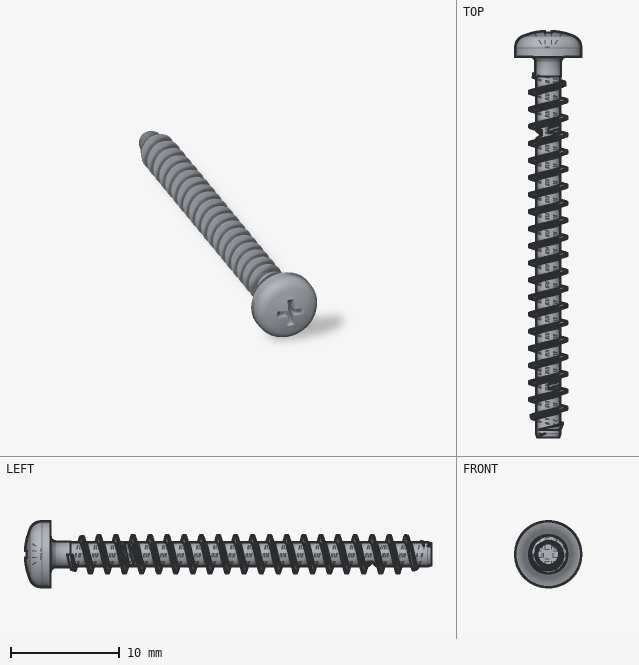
import cadquery as cq
import math


TOTAL_LENGTH = 37.43

HEAD_DIAMETER = 6.1
HEAD_HEIGHT = 2.4
RIM_HEIGHT = 0.82
DOME_EDGE_RADIUS = 1.2

RECESS_SPAN = 2.85
RECESS_BOTTOM_SPAN = 0.9
RECESS_DEPTH = 1.5
RECESS_WING_WIDTH = 0.65

NECK_RADIUS = 1.2
NECK_LENGTH = 1.8
NECK_FILLET = 0.4
CORE_RADIUS = 1.12
TIP_RADIUS = 1.0
TIP_TAPER_LENGTH = 0.37

PITCH = 1.57
THREAD_RADIUS = 1.75
THREAD_START = 1.7
THREAD_START_ANGLE = 180.0
THREAD_END = 34.5
CREST_WIDTH = 0.15
FLANK_REACH = 0.22
FOOT_RADIUS = 1.2
FOOT_REACH = 0.5
ROOT_OVERLAP = 0.15
CREST_CLEARANCE = 0.2
RUN_IN_RADIUS = 1.4
RUN_IN_LENGTH = 1.5
RUN_OUT_RADIUS = 1.12
RUN_OUT_LENGTH = 1.65
RUN_OUT_END = 34.35

NOTCHES = [
    (3, 45.0, 0.82),
    (3, 180.0, 0.55),
    (17, 270.0, 0.67),
    (17, 405.0, 0.82),
]
NOTCH_FLOOR_WIDTH = 0.37
NOTCH_MOUTH_WIDTH = 0.97
NOTCH_MOUTH_RADIUS = 1.2

HEAD_RADIUS = HEAD_DIAMETER / 2
DOME_HEIGHT = HEAD_HEIGHT - RIM_HEIGHT

CAP_RADIUS = ((HEAD_RADIUS - DOME_EDGE_RADIUS) ** 2 + DOME_HEIGHT**2 - DOME_EDGE_RADIUS**2) / (
    2 * (DOME_HEIGHT - DOME_EDGE_RADIUS)
)

RECESS_CORNER_RADIUS = RECESS_WING_WIDTH / math.sqrt(2)
APEX_LOSS = CAP_RADIUS - math.sqrt(CAP_RADIUS**2 - RECESS_CORNER_RADIUS**2)
TIP_HEIGHT = TOTAL_LENGTH - HEAD_HEIGHT + APEX_LOSS


def make_head():
    """Pan head, neck fillet and neck as one turned body, with the cross recess cut out."""
    edge_center_r = HEAD_RADIUS - DOME_EDGE_RADIUS
    cap_angle = math.asin(edge_center_r / (CAP_RADIUS - DOME_EDGE_RADIUS))
    cap_center_z = CAP_RADIUS - HEAD_HEIGHT

    def on_cap(angle):
        return (CAP_RADIUS * math.sin(angle), cap_center_z - CAP_RADIUS * math.cos(angle))

    def on_edge(angle):
        return (
            edge_center_r + DOME_EDGE_RADIUS * math.sin(angle),
            -RIM_HEIGHT - DOME_EDGE_RADIUS * math.cos(angle),
        )

    fillet_mid = NECK_FILLET * (1 - math.sqrt(0.5))
    return (
        cq.Workplane("XZ")
        .moveTo(0, -HEAD_HEIGHT)
        .threePointArc(on_cap(cap_angle / 2), on_cap(cap_angle))
        .threePointArc(on_edge((cap_angle + math.pi / 2) / 2), (HEAD_RADIUS, -RIM_HEIGHT))
        .lineTo(HEAD_RADIUS, 0)
        .lineTo(NECK_RADIUS + NECK_FILLET, 0)
        .threePointArc((NECK_RADIUS + fillet_mid, fillet_mid), (NECK_RADIUS, NECK_FILLET))
        .lineTo(NECK_RADIUS, NECK_LENGTH)
        .lineTo(0, NECK_LENGTH)
        .close()
        .revolve(360, (0, 0), (0, 1))
        .cut(make_recess())
    )


def make_recess():
    """Cross recess: two crossing wings that narrow towards the bottom."""
    bottom = RECESS_DEPTH - HEAD_HEIGHT
    wing = (
        cq.Workplane("XZ")
        .polyline(
            [
                (-RECESS_SPAN / 2, -HEAD_HEIGHT),
                (RECESS_SPAN / 2, -HEAD_HEIGHT),
                (RECESS_BOTTOM_SPAN / 2, bottom),
                (-RECESS_BOTTOM_SPAN / 2, bottom),
            ]
        )
        .close()
        .extrude(RECESS_WING_WIDTH / 2, both=True)
    )
    return wing.union(wing.rotate((0, 0, 0), (0, 0, 1), 90))


def make_core():
    """Plain core from inside the neck to the slightly tapered tip."""
    return (
        cq.Workplane("XZ")
        .polyline(
            [
                (0, NECK_FILLET),
                (CORE_RADIUS, NECK_FILLET),
                (CORE_RADIUS, TIP_HEIGHT - TIP_TAPER_LENGTH),
                (TIP_RADIUS, TIP_HEIGHT),
                (0, TIP_HEIGHT),
            ]
        )
        .close()
        .revolve(360, (0, 0), (0, 1))
    )


def make_thread():
    """Helical ridge, trimmed so that it rises at the neck and fades out at the tip."""
    root_radius = CORE_RADIUS - ROOT_OVERLAP
    ridge_length = THREAD_END - THREAD_START
    helix = cq.Wire.makeHelix(PITCH, ridge_length, CORE_RADIUS)
    ridge = (
        cq.Workplane("XZ")
        .polyline(
            [
                (root_radius, -FLANK_REACH),
                (THREAD_RADIUS, -CREST_WIDTH / 2),
                (THREAD_RADIUS, CREST_WIDTH / 2),
                (FOOT_RADIUS, FLANK_REACH),
                (root_radius, FOOT_REACH),
            ]
        )
        .close()
        .sweep(cq.Workplane(obj=helix), isFrenet=True)
        .rotate((0, 0, 0), (0, 0, 1), THREAD_START_ANGLE)
        .translate((0, 0, THREAD_START))
    )
    run_in_slope = (THREAD_RADIUS - RUN_IN_RADIUS) / RUN_IN_LENGTH
    run_out_slope = (THREAD_RADIUS - RUN_OUT_RADIUS) / RUN_OUT_LENGTH
    clear_radius = THREAD_RADIUS + CREST_CLEARANCE
    bottom = THREAD_START - PITCH
    top = THREAD_END + PITCH
    envelope = (
        cq.Workplane("XZ")
        .polyline(
            [
                (0, bottom),
                (RUN_IN_RADIUS, bottom),
                (RUN_IN_RADIUS, THREAD_START),
                (clear_radius, THREAD_START + (clear_radius - RUN_IN_RADIUS) / run_in_slope),
                (clear_radius, RUN_OUT_END - (clear_radius - RUN_OUT_RADIUS) / run_out_slope),
                (RUN_OUT_RADIUS, RUN_OUT_END),
                (RUN_OUT_RADIUS, top),
                (0, top),
            ]
        )
        .close()
        .revolve(360, (0, 0), (0, 1))
    )
    return ridge.intersect(envelope)


def make_notch(turn, angle, floor):
    """V-shaped cutter with a flat floor, tilted to lie along the thread groove."""
    height = THREAD_START + PITCH * (turn + 0.5 + (angle - THREAD_START_ANGLE) / 360)
    lead_angle = math.degrees(math.atan(PITCH / (2 * math.pi * CORE_RADIUS)))
    return (
        cq.Workplane("XZ")
        .polyline(
            [
                (floor, -NOTCH_FLOOR_WIDTH / 2),
                (NOTCH_MOUTH_RADIUS, -NOTCH_MOUTH_WIDTH / 2),
                (NOTCH_MOUTH_RADIUS, NOTCH_MOUTH_WIDTH / 2),
                (floor, NOTCH_FLOOR_WIDTH / 2),
            ]
        )
        .close()
        .extrude(CORE_RADIUS, both=True)
        .rotate((0, 0, 0), (1, 0, 0), lead_angle)
        .rotate((0, 0, 0), (0, 0, 1), angle)
        .translate((0, 0, height))
    )


screw = make_core().union(make_thread())
for turn, angle, floor in NOTCHES:
    screw = screw.cut(make_notch(turn, angle, floor))
screw = screw.union(make_head())

result = screw.rotate((0, 0, 0), (1, 0, 0), 90)